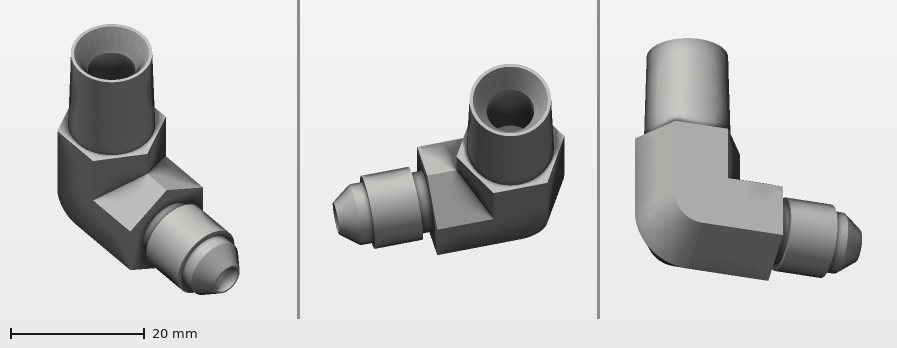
import cadquery as cq
import math


across_flats = 14.3
half_flats = across_flats / 2
corner_radius = half_flats / math.cos(math.radians(30))
vertical_hex_end = 12.55
horizontal_hex_end = 12.72

overall_height = 35.93
pipe_top = overall_height - corner_radius
pipe_base_radius = 6.55
pipe_top_radius = 6.1

overall_length = 34.92
nose_end = overall_length - corner_radius
neck_radius = 4.65
collar_radius = 5.57
nose_radius = 2.48
collar_start = 14.55
collar_end = 21.8
cone_start = 23.8

bore_radius = 2.2
counterbore_radius = 3.55
countersink_radius = 5.6
countersink_half_angle = 30
countersink_slope = math.tan(math.radians(countersink_half_angle))
countersink_depth = (countersink_radius - counterbore_radius) / countersink_slope
counterbore_floor = vertical_hex_end


def hex_bar(length):
    """Upright hexagonal bar from the origin, with two flats facing along Y."""
    return cq.Workplane("XY").polygon(6, 2 * corner_radius).extrude(length)


def body():
    """Two hexagonal bars whose outer corner is swept round the Y axis."""
    bend = (
        cq.Workplane("XY")
        .moveTo(0, -half_flats)
        .lineTo(corner_radius / 2, -half_flats)
        .lineTo(corner_radius, 0)
        .lineTo(corner_radius / 2, half_flats)
        .lineTo(0, half_flats)
        .close()
        .revolve(360, (0, 0, 0), (0, 1, 0))
    )
    vertical = hex_bar(vertical_hex_end)
    horizontal = hex_bar(horizontal_hex_end).rotate((0, 0, 0), (0, 1, 0), 90)
    return vertical.union(horizontal).union(bend)


def tapered_pipe():
    """Solid tapered pipe end, from the top of the vertical hexagon."""
    return (
        cq.Workplane("XZ")
        .moveTo(0, vertical_hex_end)
        .lineTo(pipe_base_radius, vertical_hex_end)
        .lineTo(pipe_top_radius, pipe_top)
        .lineTo(0, pipe_top)
        .close()
        .revolve(360, (0, 0, 0), (0, 1, 0))
    )


def flared_end():
    """Solid neck, collar and conical nose along +X."""
    return (
        cq.Workplane("XZ")
        .moveTo(horizontal_hex_end, 0)
        .lineTo(horizontal_hex_end, neck_radius)
        .lineTo(collar_start, neck_radius)
        .lineTo(collar_start, collar_radius)
        .lineTo(collar_end, collar_radius)
        .lineTo(collar_end, neck_radius)
        .lineTo(cone_start, neck_radius)
        .lineTo(nose_end, nose_radius)
        .lineTo(nose_end, 0)
        .close()
        .revolve(360, (0, 0, 0), (1, 0, 0))
    )


def mitred_bore():
    """Two equal bores that meet in a sharp mitred corner."""
    corner_vertical = (
        cq.Workplane("XY")
        .workplane(offset=-bore_radius)
        .circle(bore_radius)
        .extrude(2 * bore_radius)
    )
    corner_horizontal = (
        cq.Workplane("YZ")
        .workplane(offset=-bore_radius)
        .circle(bore_radius)
        .extrude(2 * bore_radius)
    )
    vertical = cq.Workplane("XY").circle(bore_radius).extrude(pipe_top)
    horizontal = cq.Workplane("YZ").circle(bore_radius).extrude(nose_end)
    return vertical.union(horizontal).union(corner_vertical.intersect(corner_horizontal))


def pipe_mouth():
    """Counterbore with a conical mouth in the tapered end."""
    return (
        cq.Workplane("XZ")
        .moveTo(0, counterbore_floor)
        .lineTo(counterbore_radius, counterbore_floor)
        .lineTo(counterbore_radius, pipe_top - countersink_depth)
        .lineTo(countersink_radius, pipe_top)
        .lineTo(0, pipe_top)
        .close()
        .revolve(360, (0, 0, 0), (0, 1, 0))
    )


solid_fitting = body().union(tapered_pipe()).union(flared_end())
result = solid_fitting.cut(mitred_bore()).cut(pipe_mouth())